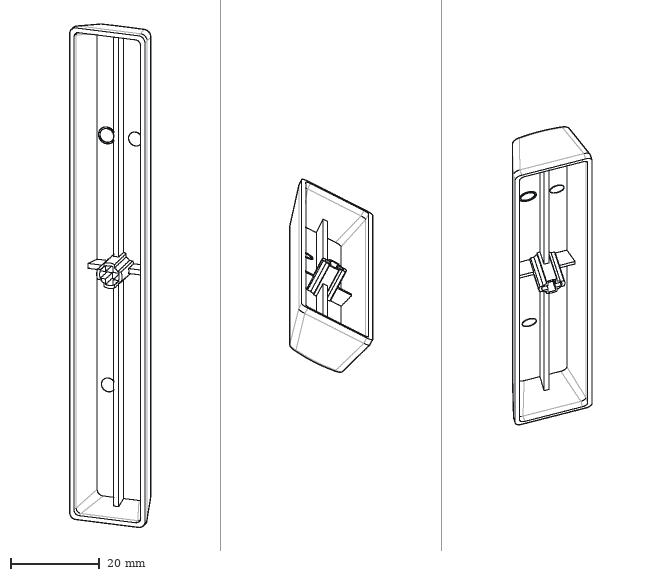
import cadquery as cq

width = 18.0
length = 118.0
depth = 11.1

skirt_height = 1.4
crown_rise = 0.6
crown_edge_y = depth - crown_rise
top_inset = 2.4
crown_edge_fillet = 0.5
skirt_corner_radius = 1.5
top_corner_radius = 1.7

rim_wall = 1.1
floor_y = 9.1
floor_side_inset = 3.3
floor_end_inset = 3.0
rim_cavity_radius = 1.2
floor_cavity_radius = 1.4

rib_width = 1.2
rib_front_y = 5.8

stem_front_y = 1.4
stem_radius = 2.4
stem_slot_width = 1.8
stem_end_radius = 3.1
stem_end_width = 2.5

mark_x = 3.4
mark_radius = 1.7
mark_depth = 0.1
upper_mark_z = 30.6
lower_mark_x = -3.1
lower_mark_z = -29.3
ring_outer_radius = 2.0


def plane_at(y):
    """Sketch plane at height y, extruding toward +Y; its local y axis is -Z."""
    return cq.Workplane(cq.Plane(origin=(0, y, 0), xDir=(1, 0, 0), normal=(0, 1, 0)))


def rounded_prism(size_x, size_z, radius, y_start, y_end):
    block = plane_at(y_start).rect(size_x, size_z).extrude(y_end - y_start)
    return block.edges("|Y").fillet(radius)


def rounded_outline(size_x, size_z, radius, y):
    outline = cq.Sketch().rect(size_x, size_z).vertices().fillet(radius)
    return outline.moved(cq.Location(cq.Vector(0, 0, y)))


def tapered_body(base, top, y_base, y_top):
    """Straight-sided loft between two (size_x, size_z, radius) outlines."""
    sections = [rounded_outline(*base, 0), rounded_outline(*top, y_top - y_base)]
    return plane_at(y_base).placeSketch(*sections).loft(ruled=True)


def box_between(size_x, size_z, y_start, y_end):
    return plane_at(y_start).rect(size_x, size_z).extrude(y_end - y_start)


def cylinder_between(radius, y_start, y_end, x=0, z=0):
    return plane_at(y_start).center(x, -z).circle(radius).extrude(y_end - y_start)


def make_shell():
    top_width = width - 2 * top_inset
    taper = top_inset / (crown_edge_y - skirt_height)
    apex_inset = taper * (depth - skirt_height)
    skirt = rounded_prism(width, length, skirt_corner_radius, 0, skirt_height)
    upper = tapered_body(
        (width, length, skirt_corner_radius),
        (width - 2 * apex_inset, length - 2 * apex_inset, top_corner_radius),
        skirt_height,
        depth,
    )
    crown_half = top_width / 2
    crown = (
        cq.Workplane("XY")
        .moveTo(-width / 2, 0)
        .lineTo(width / 2, 0)
        .lineTo(width / 2, crown_edge_y)
        .lineTo(crown_half, crown_edge_y)
        .threePointArc((0, depth), (-crown_half, crown_edge_y))
        .lineTo(-width / 2, crown_edge_y)
        .close()
        .extrude(length / 2, both=True)
    )
    shell = skirt.union(upper).intersect(crown)
    return shell.faces(">Y").edges().fillet(crown_edge_fillet)


def make_cavity():
    rim = (width - 2 * rim_wall, length - 2 * rim_wall, rim_cavity_radius)
    floor = (width - 2 * floor_side_inset, length - 2 * floor_end_inset, floor_cavity_radius)
    straight = rounded_prism(*rim, 0, skirt_height)
    return straight.union(tapered_body(rim, floor, skirt_height, floor_y))


def make_ribs(cavity):
    """Crossed ribs that run out into the cavity walls."""
    long_rib = box_between(rib_width, length, rib_front_y, floor_y)
    cross_rib = box_between(width, rib_width, rib_front_y, floor_y)
    return long_rib.union(cross_rib).intersect(cavity)


def make_stem():
    """Round post split by a cross slot, closed by a curved wall at each slot end."""
    post = cylinder_between(stem_radius, stem_front_y, floor_y)
    ends = cylinder_between(stem_end_radius, stem_front_y, floor_y).cut(post)
    arms = box_between(stem_end_width, length, stem_front_y, floor_y)
    arms = arms.union(box_between(length, stem_end_width, stem_front_y, floor_y))
    slot = box_between(stem_slot_width, length, stem_front_y, rib_front_y)
    slot = slot.union(box_between(length, stem_slot_width, stem_front_y, rib_front_y))
    return post.cut(slot).union(ends.intersect(arms))


def make_marks():
    """Shallow round recesses in the floor, and one ring-shaped recess."""
    mark_end = floor_y + mark_depth
    ring = cylinder_between(ring_outer_radius, floor_y, mark_end, -mark_x, upper_mark_z)
    ring = ring.cut(cylinder_between(mark_radius, floor_y, mark_end, -mark_x, upper_mark_z))
    upper = cylinder_between(mark_radius, floor_y, mark_end, mark_x, upper_mark_z)
    lower = cylinder_between(mark_radius, floor_y, mark_end, lower_mark_x, lower_mark_z)
    return ring.union(upper).union(lower)


cavity = make_cavity()
result = make_shell().cut(cavity).union(make_ribs(cavity)).union(make_stem()).cut(make_marks())